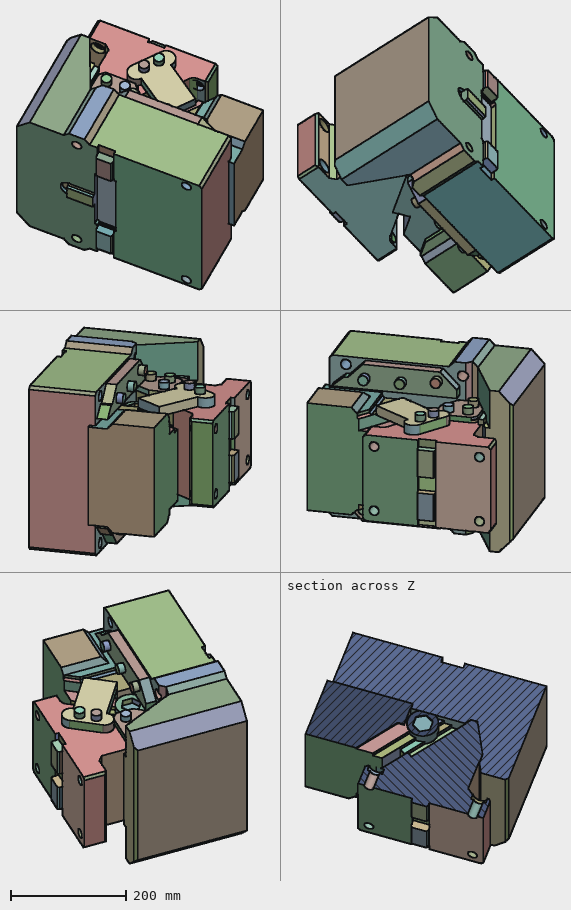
import cadquery as cq
import math


SELECT_MARGIN = 3.5

OVERALL_HEIGHT = 320.0
HOUSING_LENGTH = 355.0
HOUSING_HALF_HEIGHT = 150.0
HOUSING_DEPTH = 120.5
WEDGE_DEPTH = 211.0
WEDGE_CHAMFER_X = 5.0
WEDGE_CHAMFER_Y = 5.5
WEDGE_TOP_X = 41.2
WEDGE_FOOT_X = 90.0
WEDGE_FOOT_Y = 110.2
WEDGE_SLOPE = (WEDGE_FOOT_Y - WEDGE_DEPTH) / (WEDGE_FOOT_X - WEDGE_TOP_X)
STRIP_WIDTH = 8.5
LEFT_CHAMFER_X = 25.0
LEFT_CHAMFER_Z = 26.0
RIGHT_CHAMFER = 5.5
RIB_HALF_HEIGHT = OVERALL_HEIGHT / 2
RIB_HEIGHT = RIB_HALF_HEIGHT - HOUSING_HALF_HEIGHT
RIB_TOP_LEFT = WEDGE_FOOT_X + RIB_HEIGHT
RIB_TOP_RIGHT = 130.0
RIB_RELIEF_X = 8.8

HOLE_RADIUS = 9.0
HOLE_X = (115.0, 325.2)
HOLE_Z = 135.0

KEY_WIDTH = 31.8
KEY_LENGTH = 50.0
KEY_PROJECTION = 8.5
KEY_CHAMFER_OUT = 4.0
KEY_CHAMFER_SIDE = 2.2
KEYWAY_DEPTH = 6.5

FRONT_SLOT_X = 170.0
FRONT_KEY_Z = 105.0
RELIEF_WIDTH = 40.0
RELIEF_HALF_LENGTH = 75.2
RELIEF_CHAMFER = 4.5
RELIEF_DEPTH = 10.0
RELIEF_LEFT = FRONT_SLOT_X - RELIEF_WIDTH / 2

FLANGE_THICKNESS = 19.5
FLANGE_BACK = HOUSING_DEPTH + FLANGE_THICKNESS
FLANGE_LEFT = 120.0
FLANGE_TOP_LEFT = 150.5
FLANGE_TOP_RIGHT = 289.8
FLANGE_STEP_LEFT = 317.0
FLANGE_STEP_RIGHT = 323.8
FLANGE_RIGHT = 346.0
FLANGE_TOP = 146.0
FLANGE_BOTTOM = 100.0
SCREW_RADIUS = 9.0
SCREW_HEIGHT = 12.0
FLANGE_SCREWS = ((155.5, 129.0), (220.0, 120.5), (285.8, 120.5))

SLANT = 35.0
SLANT_COS = math.cos(math.radians(SLANT))
SLANT_SIN = math.sin(math.radians(SLANT))

HEAD_HALF_HEIGHT = 80.0
BAR_LEFT = 15.0
BAR_RIGHT = 245.0
BAR_FRONT = 257.5
BAR_BACK = 300.0
BAR_CENTRE = (BAR_LEFT + BAR_RIGHT) / 2
BAR_CHAMFER = 4.5
NECK_LEFT = 60.0
NECK_BEVEL_X = 10.2
NECK_BEVEL_Y = 8.8
NECK_ACROSS = 30.5
NECK_LOW_ACROSS = 19.7
NECK_FILLET = 15.0
STEP_END_ALONG = 277.5
HEAD_KEY_Z = 40.0
BAR_HOLE_INSET = 20.0
BAR_HOLE_Z = 60.0
BAR_HOLE_RADIUS = 8.5
BAR_BORE_RADIUS = 13.0
BAR_BORE_DEPTH = 10.0

ARM_THICKNESS = 18.0
ARM_FRONT_ALONG = 249.3
ARM_BACK_ALONG = 308.8
ARM_MID_ALONG = (ARM_FRONT_ALONG + ARM_BACK_ALONG) / 2
ARM_END_ACROSS = 85.8
LOBE_ACROSS = -16.0
LOBE_RADIUS = 16.5
ARM_SCREW_SPACING = 30.0

PLATE_LEFT = 69.7
PLATE_RIGHT = 145.3
PLATE_BACK = 195.3
PLATE_THICKNESS = 10.0
PLATE_CORNER = 9.0
PLATE_SCREWS = ((89.8, 175.5), (125.2, 175.5), (89.8, 141.0))

GIB_LEFT = 55.0
GIB_RIGHT = 65.0
GIB_BACK = 200.0
GIB_THICKNESS = 10.0

BLOCK_FRONT = 110.2
BLOCK_BACK = 230.0
BLOCK_RIGHT = 365.0
BLOCK_LOW_LEFT = 208.8
BLOCK_LOW_HALF_HEIGHT = HEAD_HALF_HEIGHT
BLOCK_MID_LEFT = 255.5
BLOCK_MID_HALF_HEIGHT = 89.8
BLOCK_MID_BEVEL = 4.0
BLOCK_TOP_LEFT = 275.0
BLOCK_TOP_FRONT = 144.5
BLOCK_TOP_HALF_HEIGHT = 100.0
BLOCK_TOP_CHAMFER = BLOCK_TOP_HALF_HEIGHT - BLOCK_MID_HALF_HEIGHT
POCKET_ACROSS = 91.0
POCKET_FRONT = 156.2
FLOOR_END_ALONG = 365.0
FLOOR_STEPS = (
    (NECK_LOW_ACROSS, STEP_END_ALONG, 36.5),
    (40.0, STEP_END_ALONG, 43.8),
    (52.0, FLOOR_END_ALONG, 51.0),
    (65.7, FLOOR_END_ALONG, 58.5),
)
PIVOT_X = 179.0
PIVOT_Y = 143.0
PIVOT_RADIUS = 27.7
PIVOT_TOP = 69.5
PIVOT_HEX_FLATS = 30.5
PIVOT_HEX_DEPTH = 11.0


def slanted(across, along):
    """X, Y of a point given across and along the slanted direction."""
    x = across * SLANT_COS + along * SLANT_SIN
    y = along * SLANT_COS - across * SLANT_SIN
    return (x, y)


def slanted_x(across, y):
    """X where the slanted line at this distance across meets the given Y."""
    return (across + y * SLANT_SIN) / SLANT_COS


def wedge_y(x):
    """Y on the sloped face of the wedge."""
    return WEDGE_DEPTH + WEDGE_SLOPE * (x - WEDGE_TOP_X)


def prism(points, bottom, top):
    """Outline in X, Y extruded from bottom to top in Z."""
    return cq.Workplane("XY").workplane(offset=bottom).polyline(points).close().extrude(top - bottom)


def front_prism(points, front, back):
    """Outline in X, Z extruded from front to back in Y."""
    return cq.Workplane("XZ", origin=(0, front, 0)).polyline(points).close().extrude(front - back)


def block(left, right, front, back, bottom, top):
    """Box between the given limits in X, Y and Z."""
    return prism([(left, front), (right, front), (right, back), (left, back)], bottom, top)


def upright_screw(x, y, seat):
    """Screw head standing on a face that looks up."""
    return cq.Workplane("XY", origin=(x, y, seat)).circle(SCREW_RADIUS).extrude(SCREW_HEIGHT)


def key():
    """Key along Z: embedded by the keyway depth at Y > 0, projecting with chamfers at Y < 0."""
    half = KEY_WIDTH / 2
    tip = half - KEY_CHAMFER_SIDE
    shoulder = KEY_CHAMFER_OUT - KEY_PROJECTION
    outline = [
        (-half, KEYWAY_DEPTH),
        (-half, shoulder),
        (-tip, -KEY_PROJECTION),
        (tip, -KEY_PROJECTION),
        (half, shoulder),
        (half, KEYWAY_DEPTH),
    ]
    return prism(outline, -KEY_LENGTH / 2, KEY_LENGTH / 2)


def housing_shell():
    plan = [
        (0, 0),
        (0, WEDGE_DEPTH - WEDGE_CHAMFER_Y),
        (WEDGE_CHAMFER_X, WEDGE_DEPTH),
        (WEDGE_TOP_X, WEDGE_DEPTH),
        (WEDGE_FOOT_X, WEDGE_FOOT_Y),
        (RIB_TOP_LEFT, WEDGE_FOOT_Y),
        (RIB_TOP_LEFT + RIB_RELIEF_X, HOUSING_DEPTH),
        (HOUSING_LENGTH, HOUSING_DEPTH),
        (HOUSING_LENGTH, 0),
    ]
    upper = [
        (0, HOUSING_HALF_HEIGHT - LEFT_CHAMFER_Z),
        (LEFT_CHAMFER_X, HOUSING_HALF_HEIGHT),
        (WEDGE_FOOT_X, HOUSING_HALF_HEIGHT),
        (RIB_TOP_LEFT, RIB_HALF_HEIGHT),
        (RIB_TOP_RIGHT, RIB_HALF_HEIGHT),
        (RIB_TOP_RIGHT + RIB_HEIGHT, HOUSING_HALF_HEIGHT),
        (HOUSING_LENGTH - RIGHT_CHAMFER, HOUSING_HALF_HEIGHT),
        (HOUSING_LENGTH, HOUSING_HALF_HEIGHT - RIGHT_CHAMFER),
    ]
    lower = [(x, -z) for x, z in reversed(upper)]
    face = front_prism(upper + lower, 0, WEDGE_DEPTH)
    return prism(plan, -RIB_HALF_HEIGHT, RIB_HALF_HEIGHT).intersect(face)


def wear_strip():
    """Raised strip on the sloped wedge face, as tall as the neck beside it."""
    outline = [
        (WEDGE_TOP_X, WEDGE_DEPTH),
        (WEDGE_TOP_X + STRIP_WIDTH, WEDGE_DEPTH),
        (NECK_LEFT, wedge_y(NECK_LEFT - STRIP_WIDTH)),
        (NECK_LEFT, wedge_y(NECK_LEFT)),
    ]
    return prism(outline, -HEAD_HALF_HEIGHT, HEAD_HALF_HEIGHT)


def gib_plate():
    """Small plate on top of the strip, with its front end on the sloped face."""
    outline = [
        (GIB_LEFT, GIB_BACK),
        (GIB_LEFT, wedge_y(GIB_LEFT)),
        (GIB_RIGHT, wedge_y(GIB_RIGHT)),
        (GIB_RIGHT, GIB_BACK),
    ]
    return prism(outline, HEAD_HALF_HEIGHT, HEAD_HALF_HEIGHT + GIB_THICKNESS)


def flange_piece():
    """Upper flange piece with its screw heads."""
    step = FLANGE_TOP - (FLANGE_STEP_LEFT - FLANGE_TOP_RIGHT)
    outline = [
        (FLANGE_LEFT, FLANGE_BOTTOM),
        (FLANGE_LEFT, FLANGE_TOP - (FLANGE_TOP_LEFT - FLANGE_LEFT)),
        (FLANGE_TOP_LEFT, FLANGE_TOP),
        (FLANGE_TOP_RIGHT, FLANGE_TOP),
        (FLANGE_STEP_LEFT, step),
        (FLANGE_STEP_RIGHT, step),
        (FLANGE_RIGHT, FLANGE_BOTTOM),
    ]
    piece = front_prism(outline, HOUSING_DEPTH, FLANGE_BACK)
    screws = cq.Workplane("XZ", origin=(0, FLANGE_BACK, 0)).pushPoints(FLANGE_SCREWS)
    return piece.union(screws.circle(SCREW_RADIUS).extrude(-SCREW_HEIGHT))


def front_slots():
    """Vertical keyway, its deeper middle relief and the round-ended cross keyway."""
    half_key = KEY_WIDTH / 2
    left = FRONT_SLOT_X - half_key
    slot = block(left, left + KEY_WIDTH, 0, KEYWAY_DEPTH, -RIB_HALF_HEIGHT, RIB_HALF_HEIGHT)
    relief = block(RELIEF_LEFT, RELIEF_LEFT + RELIEF_WIDTH, 0, RELIEF_DEPTH,
                   -RELIEF_HALF_LENGTH, RELIEF_HALF_LENGTH).edges("|Y").chamfer(RELIEF_CHAMFER)
    round_x = RELIEF_LEFT - KEY_LENGTH
    cross = block(round_x, RELIEF_LEFT, 0, KEYWAY_DEPTH, -half_key, half_key)
    round_end = cq.Workplane("XZ", origin=(round_x, 0, 0)).circle(half_key).extrude(-KEYWAY_DEPTH)
    return slot.union(relief).union(cross).union(round_end)


def front_keys():
    cross_key = key().rotate((0, 0, 0), (0, 1, 0), 90)
    keys = cross_key.translate((RELIEF_LEFT - KEY_LENGTH / 2, 0, 0))
    for z in (-FRONT_KEY_Z, FRONT_KEY_Z):
        keys = keys.union(key().translate((FRONT_SLOT_X, 0, z)))
    return keys


def mounting_holes():
    places = [(x, z) for x in HOLE_X for z in (-HOLE_Z, HOLE_Z)]
    return cq.Workplane("XZ").pushPoints(places).circle(HOLE_RADIUS).extrude(-WEDGE_DEPTH)


def make_housing(neighbours):
    """Housing with recesses that match the bodies seated in its back."""
    body = housing_shell().union(wear_strip()).union(gib_plate())
    flange = flange_piece()
    body = body.union(flange).union(flange.mirror("XY"))
    body = body.cut(front_slots()).union(front_keys()).cut(mounting_holes())
    for neighbour in neighbours:
        body = body.cut(neighbour)
    return body


def head_bar():
    bar = block(BAR_LEFT, BAR_RIGHT, BAR_FRONT, BAR_BACK, -HEAD_HALF_HEIGHT, HEAD_HALF_HEIGHT)
    for end in ("<X", ">X"):
        bar = bar.faces(end).edges("|Y or <Y").chamfer(BAR_CHAMFER)
    places = [(x, z) for x in (BAR_LEFT + BAR_HOLE_INSET, BAR_RIGHT - BAR_HOLE_INSET)
              for z in (-BAR_HOLE_Z, BAR_HOLE_Z)]
    front = cq.Workplane("XZ", origin=(0, BAR_FRONT, 0)).pushPoints(places)
    bar = bar.cut(front.circle(BAR_HOLE_RADIUS).extrude(BAR_FRONT - BAR_BACK))
    return bar.cut(front.circle(BAR_BORE_RADIUS).extrude(-BAR_BORE_DEPTH))


def head_neck():
    """Neck from the bar to the foot of the wedge, with one slanted side."""
    corner_x = slanted_x(NECK_ACROSS, BAR_FRONT)
    tangent = NECK_FILLET * math.tan(math.radians(90 - SLANT) / 2)
    fillet_start = (corner_x + tangent, BAR_FRONT)
    centre = (fillet_start[0], BAR_FRONT - NECK_FILLET)
    middle_angle = math.radians(90 + (90 - SLANT) / 2)
    fillet_middle = (centre[0] + NECK_FILLET * math.cos(middle_angle),
                     centre[1] + NECK_FILLET * math.sin(middle_angle))
    fillet_end = (centre[0] - NECK_FILLET * SLANT_COS, centre[1] + NECK_FILLET * SLANT_SIN)
    return (
        cq.Workplane("XY").workplane(offset=-HEAD_HALF_HEIGHT)
        .moveTo(NECK_LEFT - NECK_BEVEL_X, BAR_FRONT)
        .lineTo(NECK_LEFT, BAR_FRONT - NECK_BEVEL_Y)
        .lineTo(NECK_LEFT, wedge_y(NECK_LEFT))
        .lineTo(WEDGE_FOOT_X, WEDGE_FOOT_Y)
        .lineTo(slanted_x(NECK_LOW_ACROSS, WEDGE_FOOT_Y), WEDGE_FOOT_Y)
        .lineTo(*slanted(NECK_LOW_ACROSS, STEP_END_ALONG))
        .lineTo(*slanted(NECK_ACROSS, STEP_END_ALONG))
        .lineTo(*fillet_end)
        .threePointArc(fillet_middle, fillet_start)
        .close().extrude(2 * HEAD_HALF_HEIGHT)
    )


def head_arm():
    """Round-lobed arm lying on the neck and reaching over the side block, with its two screws."""
    top = HEAD_HALF_HEIGHT + ARM_THICKNESS
    tongue = prism(
        [slanted(a, b) for a, b in (
            (LOBE_ACROSS, ARM_FRONT_ALONG), (ARM_END_ACROSS, ARM_FRONT_ALONG),
            (ARM_END_ACROSS, ARM_BACK_ALONG), (LOBE_ACROSS, ARM_BACK_ALONG))],
        HEAD_HALF_HEIGHT, top)
    lobe_x, lobe_y = slanted(LOBE_ACROSS, ARM_MID_ALONG)
    lobe_length = ARM_BACK_ALONG - ARM_FRONT_ALONG + 2 * LOBE_RADIUS
    lobes = (
        cq.Workplane("XY", origin=(lobe_x, lobe_y, HEAD_HALF_HEIGHT))
        .slot2D(lobe_length, 2 * LOBE_RADIUS, 90 - SLANT).extrude(ARM_THICKNESS)
    )
    arm = tongue.union(lobes)
    for side in (-1, 1):
        x, y = slanted(LOBE_ACROSS, ARM_MID_ALONG + side * ARM_SCREW_SPACING / 2)
        arm = arm.union(upright_screw(x, y, top))
    return arm


def retaining_plate():
    """Plate on the neck, trimmed by the wedge face and the slanted neck face, with screws."""
    middle = HEAD_HALF_HEIGHT + PLATE_THICKNESS / 2
    top = HEAD_HALF_HEIGHT + PLATE_THICKNESS
    outline = [
        (PLATE_LEFT, wedge_y(PLATE_LEFT)),
        (PLATE_LEFT, PLATE_BACK),
        (PLATE_RIGHT, PLATE_BACK),
        slanted(NECK_ACROSS, (PLATE_RIGHT - NECK_ACROSS * SLANT_COS) / SLANT_SIN),
        (slanted_x(NECK_ACROSS, WEDGE_FOOT_Y), WEDGE_FOOT_Y),
        (WEDGE_FOOT_X, WEDGE_FOOT_Y),
    ]
    back_corners = cq.selectors.BoxSelector(
        (PLATE_LEFT - SELECT_MARGIN, PLATE_BACK - SELECT_MARGIN, 0),
        (PLATE_RIGHT + SELECT_MARGIN, PLATE_BACK + SELECT_MARGIN, top))
    lower = prism(outline, HEAD_HALF_HEIGHT, middle).edges("|Z").edges(back_corners)
    upper = prism(outline, middle, top).edges("|Z").edges(back_corners)
    plate = lower.fillet(PLATE_CORNER).union(upper.chamfer(PLATE_CORNER))
    for x, y in PLATE_SCREWS:
        plate = plate.union(upright_screw(x, y, top))
    return plate


def make_tool_head():
    head = head_bar().union(head_neck())
    half_key = KEY_WIDTH / 2
    head = head.cut(block(BAR_CENTRE - half_key, BAR_CENTRE + half_key, BAR_BACK - KEYWAY_DEPTH, BAR_BACK,
                          -HEAD_HALF_HEIGHT, HEAD_HALF_HEIGHT))
    back_key = key().rotate((0, 0, 0), (0, 0, 1), 180)
    for z in (-HEAD_KEY_Z, HEAD_KEY_Z):
        head = head.union(back_key.translate((BAR_CENTRE, BAR_BACK, z)))
    return head.union(head_arm()).union(retaining_plate())


def block_low():
    """Low layer, with the pocket for the end of the arm cut out of its back left corner."""
    outline = [
        (BLOCK_LOW_LEFT, BLOCK_FRONT),
        (BLOCK_LOW_LEFT, POCKET_FRONT),
        (slanted_x(POCKET_ACROSS, POCKET_FRONT), POCKET_FRONT),
        (slanted_x(POCKET_ACROSS, BLOCK_BACK), BLOCK_BACK),
        (BLOCK_RIGHT, BLOCK_BACK),
        (BLOCK_RIGHT, BLOCK_FRONT),
    ]
    return prism(outline, -BLOCK_LOW_HALF_HEIGHT, BLOCK_LOW_HALF_HEIGHT)


def middle_outline(inset):
    """Outline of the middle layer with its two left walls moved in by the inset."""
    left = BLOCK_MID_LEFT + inset
    across = POCKET_ACROSS + inset
    return [
        (left, BLOCK_FRONT),
        (left, (left * SLANT_COS - across) / SLANT_SIN),
        (slanted_x(across, BLOCK_BACK), BLOCK_BACK),
        (BLOCK_RIGHT, BLOCK_BACK),
        (BLOCK_RIGHT, BLOCK_FRONT),
    ]


def block_middle():
    """Middle layer, whose left walls stand on a sloped foot on the low layer."""
    foot = prism(middle_outline(0), -BLOCK_MID_HALF_HEIGHT, BLOCK_LOW_HALF_HEIGHT + BLOCK_MID_BEVEL)
    left_edges = cq.selectors.BoxSelector(
        (BLOCK_MID_LEFT - SELECT_MARGIN, BLOCK_FRONT + SELECT_MARGIN, 0),
        (BLOCK_TOP_LEFT, BLOCK_BACK - SELECT_MARGIN, BLOCK_TOP_HALF_HEIGHT))
    foot = foot.faces(">Z").edges(left_edges).chamfer(BLOCK_MID_BEVEL)
    walls = prism(middle_outline(BLOCK_MID_BEVEL), 0, BLOCK_MID_HALF_HEIGHT)
    return foot.union(walls)


def block_top():
    top = block(BLOCK_TOP_LEFT, BLOCK_RIGHT, BLOCK_TOP_FRONT, BLOCK_BACK,
                -BLOCK_TOP_HALF_HEIGHT, BLOCK_TOP_HALF_HEIGHT)
    for face in (">Z", "<Z"):
        top = top.faces(face).edges("<X or <Y").chamfer(BLOCK_TOP_CHAMFER)
    return top


def stepped_floor():
    """Floor beside the neck that rises in steps parallel to the slanted neck face."""
    room = block(0, slanted_x(POCKET_ACROSS, BLOCK_BACK), HOUSING_DEPTH, BLOCK_BACK,
                 -HEAD_HALF_HEIGHT, HEAD_HALF_HEIGHT)
    floor = cq.Workplane("XY")
    for across, end, top in FLOOR_STEPS:
        outline = [slanted(a, b) for a, b in (
            (across, 0), (POCKET_ACROSS, 0), (POCKET_ACROSS, end), (across, end))]
        floor = floor.union(prism(outline, -HEAD_HALF_HEIGHT, top))
    return floor.intersect(room)


def pivot_boss():
    """Round boss with a hexagon socket, cut flat where it meets the housing."""
    boss = cq.Workplane("XY", origin=(PIVOT_X, PIVOT_Y, 0)).circle(PIVOT_RADIUS).extrude(PIVOT_TOP)
    hexagon = (
        cq.Workplane("XY", origin=(PIVOT_X, PIVOT_Y, PIVOT_TOP - PIVOT_HEX_DEPTH))
        .transformed(rotate=(0, 0, 90))
        .polygon(6, PIVOT_HEX_FLATS / math.cos(math.pi / 6)).extrude(PIVOT_HEX_DEPTH)
    )
    limit = block(0, BLOCK_RIGHT, HOUSING_DEPTH, BLOCK_BACK, 0, PIVOT_TOP)
    return boss.cut(hexagon).intersect(limit)


def make_side_block():
    return block_low().union(block_middle()).union(block_top()).union(stepped_floor()).union(pivot_boss())


tool_head = make_tool_head()
side_block = make_side_block()
housing = make_housing((tool_head, side_block))

result = cq.Compound.makeCompound([
    housing.solids().val(),
    tool_head.solids().val(),
    side_block.solids().val(),
])